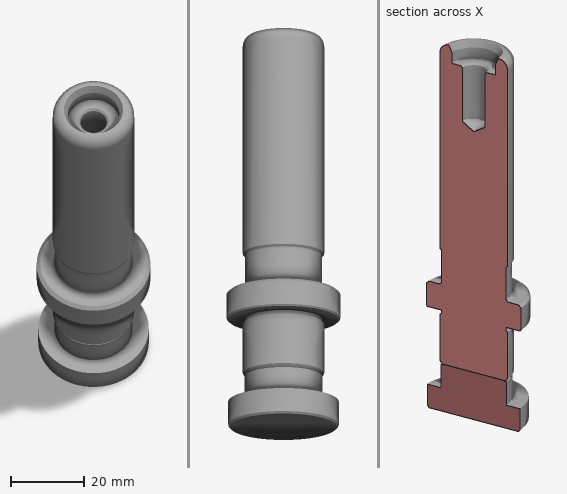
import cadquery as cq
import math

TOTAL_HEIGHT = 110.0
FLANGE_HEIGHT = 7.0
PILLAR_BOTTOM = 14.1
COLLAR_BOTTOM = 30.1
COLLAR_TOP = 38.0
SHAFT_BOTTOM = 48.6

SHAFT_RADIUS = 11.1
RELIEF_RADIUS = 10.6
COLLAR_RADIUS = 15.5
NECK_RADIUS = 10.7
FLANGE_RADIUS = 15.1

RELIEF_STEP = SHAFT_RADIUS - RELIEF_RADIUS
LEAD_IN = 1.0
COLLAR_BOTTOM_CHAMFER = 0.4
COLLAR_TOP_CHAMFER = 0.8
COLLAR_TOP_CHAMFER_WIDTH = 1.0
COLLAR_ROOT_FILLET = 0.9
LOWER_RELIEF_WIDTH = 0.8
FLANGE_CHAMFER = 0.5

RECESS_MOUTH_RADIUS = 8.0
RECESS_RADIUS = 7.0
RECESS_TAPER_DEPTH = 2.0
RECESS_DEPTH = 5.2
HOLE_MOUTH_RADIUS = 4.2
HOLE_RADIUS = 3.6
HOLE_DEPTH = 16.5
DRILL_POINT_ANGLE = 118.0

TOP_ROUNDING = SHAFT_RADIUS - RECESS_MOUTH_RADIUS


def arc_midpoint(center_r, center_z, radius, angle_degrees):
    """Point on a circular arc in the radius-height half plane."""
    angle = math.radians(angle_degrees)
    return center_r + radius * math.cos(angle), center_z + radius * math.sin(angle)


def revolve_profile(profile):
    """Revolve a closed radius-height profile about the Z axis."""
    return profile.close().revolve(360, (0, 0, 0), (0, 1, 0))


def make_guide_pillar():
    """Collared pillar with relief grooves and a recessed blind hole on top."""
    lower_top = COLLAR_BOTTOM - LOWER_RELIEF_WIDTH
    root_radius = RELIEF_RADIUS + COLLAR_ROOT_FILLET
    root_top = COLLAR_TOP + COLLAR_ROOT_FILLET
    rounding_bottom = TOTAL_HEIGHT - TOP_ROUNDING
    recess_floor = TOTAL_HEIGHT - RECESS_DEPTH
    hole_chamfer = HOLE_MOUTH_RADIUS - HOLE_RADIUS
    hole_bottom = recess_floor - HOLE_DEPTH
    drill_point = HOLE_RADIUS / math.tan(math.radians(DRILL_POINT_ANGLE / 2))

    profile = (
        cq.Workplane("XZ")
        .moveTo(0, PILLAR_BOTTOM)
        .lineTo(SHAFT_RADIUS - LEAD_IN, PILLAR_BOTTOM)
        .lineTo(SHAFT_RADIUS, PILLAR_BOTTOM + LEAD_IN)
        .lineTo(SHAFT_RADIUS, lower_top - RELIEF_STEP)
        .lineTo(RELIEF_RADIUS, lower_top)
        .lineTo(RELIEF_RADIUS, COLLAR_BOTTOM)
        .lineTo(COLLAR_RADIUS - COLLAR_BOTTOM_CHAMFER, COLLAR_BOTTOM)
        .lineTo(COLLAR_RADIUS, COLLAR_BOTTOM + COLLAR_BOTTOM_CHAMFER)
        .lineTo(COLLAR_RADIUS, COLLAR_TOP - COLLAR_TOP_CHAMFER)
        .lineTo(COLLAR_RADIUS - COLLAR_TOP_CHAMFER_WIDTH, COLLAR_TOP)
        .lineTo(root_radius, COLLAR_TOP)
        .threePointArc(
            arc_midpoint(root_radius, root_top, COLLAR_ROOT_FILLET, 225),
            (RELIEF_RADIUS, root_top),
        )
        .lineTo(RELIEF_RADIUS, SHAFT_BOTTOM - RELIEF_STEP)
        .lineTo(SHAFT_RADIUS, SHAFT_BOTTOM)
        .lineTo(SHAFT_RADIUS, rounding_bottom)
        .threePointArc(
            arc_midpoint(RECESS_MOUTH_RADIUS, rounding_bottom, TOP_ROUNDING, 45),
            (RECESS_MOUTH_RADIUS, TOTAL_HEIGHT),
        )
        .lineTo(RECESS_RADIUS, TOTAL_HEIGHT - RECESS_TAPER_DEPTH)
        .lineTo(RECESS_RADIUS, recess_floor)
        .lineTo(HOLE_MOUTH_RADIUS, recess_floor)
        .lineTo(HOLE_RADIUS, recess_floor - hole_chamfer)
        .lineTo(HOLE_RADIUS, hole_bottom)
        .lineTo(0, hole_bottom - drill_point)
    )
    return revolve_profile(profile)


def make_retaining_flange():
    """Flanged disc whose neck meets the bottom face of the pillar."""
    profile = (
        cq.Workplane("XZ")
        .moveTo(0, 0)
        .lineTo(FLANGE_RADIUS - FLANGE_CHAMFER, 0)
        .lineTo(FLANGE_RADIUS, FLANGE_CHAMFER)
        .lineTo(FLANGE_RADIUS, FLANGE_HEIGHT)
        .lineTo(NECK_RADIUS, FLANGE_HEIGHT)
        .lineTo(NECK_RADIUS, PILLAR_BOTTOM)
        .lineTo(0, PILLAR_BOTTOM)
    )
    return revolve_profile(profile)


guide_pillar = make_guide_pillar()
retaining_flange = make_retaining_flange()

result = cq.Compound.makeCompound([guide_pillar.val(), retaining_flange.val()])